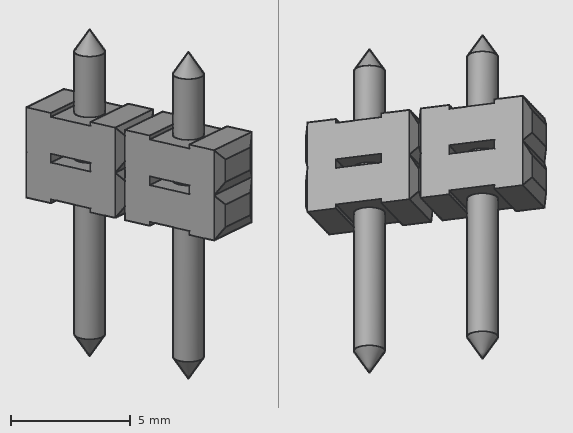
import cadquery as cq

pin_count = 2
pitch = 5.0
housing_depth = 2.8
housing_height = 4.0

pad_length = 0.25
pad_tip_depth = 1.83
pad_tip_height = 1.0
pad_base_height = housing_height / 2
block_width = pitch - 2 * pad_length

channel_width = 2.0
channel_depth = 0.17
window_height = 0.39

total_height = 14.5
pin_diameter = 1.3
pin_tip_length = 0.99
pin_top = 5.51
pin_bottom = pin_top - total_height


def make_pad(side, z):
    """Tapered pad on the -X (side = -1) or +X (side = 1) face of a block."""
    return (
        cq.Workplane("YZ", origin=(side * block_width / 2, 0, z))
        .rect(housing_depth, pad_base_height)
        .workplane(offset=side * pad_length)
        .rect(pad_tip_depth, pad_tip_height)
        .loft(ruled=True)
    )


def make_housing():
    """One cell's block with its channels, window and end pads."""
    block = cq.Workplane("XY").box(block_width, housing_depth, housing_height)
    window = cq.Workplane("XY").box(channel_width, housing_depth, window_height)
    housing = block.cut(window)
    for end in (-1, 1):
        channel = cq.Workplane("XY").box(channel_width, housing_depth, 2 * channel_depth)
        housing = housing.cut(channel.translate((0, 0, end * housing_height / 2)))
    for side in (-1, 1):
        for z in (-pad_base_height / 2, pad_base_height / 2):
            housing = housing.union(make_pad(side, z))
    return housing


def make_pin():
    """Round pin with conical tips, revolved about Z."""
    radius = pin_diameter / 2
    return (
        cq.Workplane("XZ")
        .moveTo(0, pin_bottom)
        .lineTo(radius, pin_bottom + pin_tip_length)
        .lineTo(radius, pin_top - pin_tip_length)
        .lineTo(0, pin_top)
        .close()
        .revolve(360, (0, 0, 0), (0, 1, 0))
    )


cell = make_housing().union(make_pin())

result = cell
for index in range(1, pin_count):
    result = result.union(cell.translate((index * pitch, 0, 0)))
result = result.translate((-(pin_count - 1) * pitch / 2, 0, 0))